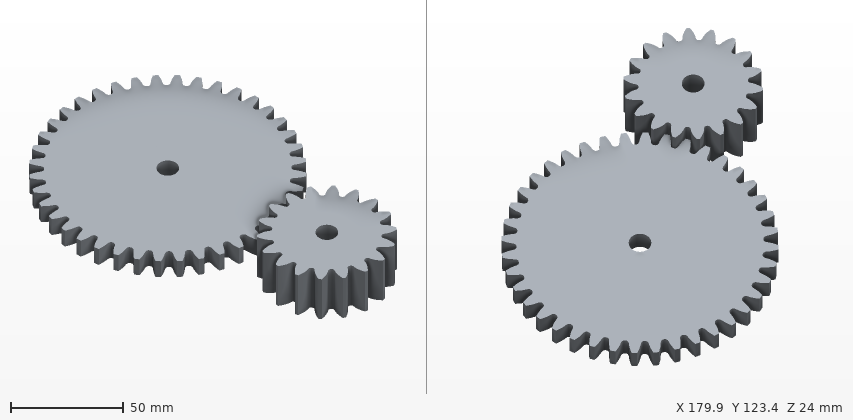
import cadquery as cq
import math

overall_length = 179.9
gear_height = 9.5
pinion_height = 24.0
bore_diameter = 10.0
backlash = 0.02

gear_teeth = 40
pinion_teeth = 18
pressure_angle = math.radians(20)
pinion_shift = 0.4
gear_shift = -pinion_shift
addendum = 1.0
dedendum = 1.25
root_rounding = 0.38
curve_steps = 6


def involute(angle):
    return math.tan(angle) - angle


def half_tooth_angle(teeth, shift, radius, thinning=0.0):
    """Half the angle a tooth spans at a radius; radius and thinning are in modules."""
    pitch_radius = teeth / 2
    half_thickness = math.pi / 4 + shift * math.tan(pressure_angle) - thinning / 2
    flank_angle = math.acos(pitch_radius * math.cos(pressure_angle) / radius)
    return half_thickness / pitch_radius + involute(pressure_angle) - involute(flank_angle)


gear_tip = gear_teeth / 2 + addendum + gear_shift
pinion_tip = pinion_teeth / 2 + addendum + pinion_shift
gear_corner_angle = math.pi / gear_teeth - half_tooth_angle(gear_teeth, gear_shift, gear_tip)
gear_reach = gear_tip * math.cos(gear_corner_angle)
center_modules = (gear_teeth + pinion_teeth) / 2
module = overall_length / (gear_reach + center_modules + pinion_tip)
center_distance = center_modules * module


def polar(radius, angle):
    return (radius * math.cos(angle), radius * math.sin(angle))


def flank_curve(teeth, shift, start_radius):
    """Involute flank from start_radius to the tip, as (radius, angle from the tooth centre)."""
    tip_radius = module * (teeth / 2 + addendum + shift)
    curve = []
    for step in range(curve_steps + 1):
        radius = start_radius + (tip_radius - start_radius) * step / curve_steps
        curve.append((radius, half_tooth_angle(teeth, shift, radius / module, backlash / module)))
    return curve


def root_curve(teeth, shift):
    """Fillet swept by the rounded rack tip, from the root circle to the start of the flank,
    as (radius, angle from the tooth centre)."""
    pitch_radius = module * teeth / 2
    rounding = module * root_rounding
    center_depth = module * (dedendum - shift) - rounding
    rack_half_tip = module * (math.pi / 4 - dedendum * math.tan(pressure_angle)) + backlash / 2
    center_offset = rack_half_tip - rounding * math.tan(math.pi / 4 - pressure_angle / 2)
    curve = []
    for step in range(curve_steps + 1):
        normal = math.pi / 2 + (pressure_angle - math.pi / 2) * step / curve_steps
        travel = center_depth / math.tan(normal)
        sideways = travel + rounding * math.cos(normal)
        inward = pitch_radius - center_depth - rounding * math.sin(normal)
        gap_angle = math.atan2(sideways, inward) - (travel - center_offset) / pitch_radius
        curve.append((math.hypot(sideways, inward), math.pi / teeth - gap_angle))
    return curve


def toothed_wheel(teeth, shift, height, first_tooth_angle):
    """Spur wheel with a plain bore, centred on the origin."""
    root = root_curve(teeth, shift)
    flank = flank_curve(teeth, shift, root[-1][0])
    side = root + flank[1:]
    tip_radius, tip_angle = side[-1]
    pitch_angle = 2 * math.pi / teeth

    outline = cq.Workplane("XY", origin=(0, 0, -height / 2))
    outline = outline.moveTo(*polar(tip_radius, first_tooth_angle - tip_angle))
    for tooth in range(teeth):
        middle = first_tooth_angle + tooth * pitch_angle
        next_middle = middle + pitch_angle
        falling_side = [polar(radius, middle + angle) for radius, angle in reversed(side)]
        rising_side = [polar(radius, next_middle - angle) for radius, angle in side]
        gap = falling_side + rising_side
        outline = outline.threePointArc(polar(tip_radius, middle), gap[0])
        outline = outline.spline(gap[1:], includeCurrent=True)
    return outline.close().moveTo(0, 0).circle(bore_diameter / 2).extrude(height)


gear = toothed_wheel(gear_teeth, gear_shift, gear_height, math.pi / gear_teeth)

pinion = toothed_wheel(pinion_teeth, pinion_shift, pinion_height, 0.0)
pinion = pinion.translate((center_distance, 0, 0))

result = cq.Compound.makeCompound([gear.val(), pinion.val()])